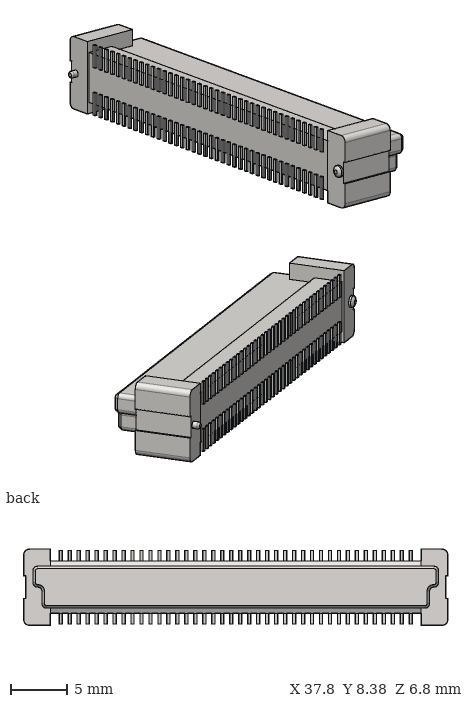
import cadquery as cq


total_length = 37.8
block_length = 2.4
block_depth = 5.3
block_height = 6.8
block_corner_radius = 0.53
notch_depth = 0.2
notch_height = 2.0

body_height = 4.7
body_inset = 0.2
body_rear = 3.1
body_rear_slope = 0.23

tongue_length = 36.15
tongue_height = 3.75
tongue_projection = 2.4
tongue_step = 0.8
tongue_corner_radius = 0.4
tongue_inner_radius = 0.35
tongue_tip_depth = 0.35
tongue_tip_inset = 0.23

pins_per_row = 40
pin_row_span = 31.2
pin_width = 0.3
pin_inner = 1.17
pin_outer = 3.3

peg_offset = 18.1
small_peg_diameter = 0.65
small_peg_height = 0.68
small_peg_wall = 0.45
large_peg_diameter = 1.1
large_peg_height = 0.4
large_peg_wall = 0.2
peg_tip_diameter = 0.38
peg_crown_bulge = 0.05

body_length = total_length - 2 * block_length
body_slope_rise = (body_height - tongue_height) / 2
tongue_end = block_depth + tongue_projection
pin_pitch = pin_row_span / (pins_per_row - 1)
pin_length = pin_outer - pin_inner


def box(x_range, y_range, z_range):
    """Box given by its lower and upper limits on each axis."""
    size = [high - low for low, high in (x_range, y_range, z_range)]
    corner = (x_range[0], y_range[0], z_range[0])
    return cq.Workplane("XY").box(*size, centered=False).translate(corner)


def end_block(side):
    """End block with rounded outer edges and a shallow notch; side is -1 or +1 along X."""
    half_length = total_length / 2
    block = (
        cq.Workplane("XY")
        .box(block_length, block_depth, block_height)
        .edges(">X and |Y")
        .fillet(block_corner_radius)
        .translate((half_length - block_length / 2, block_depth / 2, 0))
    )
    notch = box(
        (half_length - notch_depth, half_length),
        (0, block_depth),
        (-notch_height / 2, notch_height / 2),
    )
    block = block.cut(notch)
    return block if side > 0 else block.mirror("YZ")


def body():
    """Central bar whose rear edges slope down to the tongue."""
    half_height = body_height / 2
    bar = box((-body_length / 2, body_length / 2), (body_inset, body_rear), (-half_height, half_height))
    return bar.faces(">Y").edges("|X").chamfer(body_slope_rise, body_rear_slope)


def tongue():
    """Solid tongue, longer in its upper half, with rounded corners and a tapered tip."""
    half_length = tongue_length / 2
    short_half = half_length - tongue_step
    half_height = tongue_height / 2
    outline = [
        (-half_length, half_height),
        (half_length, half_height),
        (half_length, 0),
        (short_half, 0),
        (short_half, -half_height),
        (-short_half, -half_height),
        (-short_half, 0),
        (-half_length, 0),
    ]
    bar = (
        cq.Workplane("XZ", origin=(0, body_inset, 0))
        .polyline(outline)
        .close()
        .extrude(body_inset - tongue_end)
    )
    margin = tongue_step / 2
    inner_corners = cq.selectors.BoxSelector(
        (-half_length + margin, 0, -margin), (half_length - margin, tongue_end, margin)
    )
    bar = bar.edges(inner_corners).edges("|Y").fillet(tongue_inner_radius)
    bar = bar.edges("|Y").edges(">Z or <Z or >X or <X").fillet(tongue_corner_radius)
    return bar.faces(">Y").chamfer(tongue_tip_depth, tongue_tip_inset)


def pin(x, row):
    """Flat pin lying across the front of the body; row is -1 or +1 along Z."""
    return (
        cq.Workplane("XY")
        .box(pin_width, body_inset, pin_length)
        .translate((x, body_inset / 2, row * (pin_inner + pin_outer) / 2))
    )


def peg(x, diameter, height, wall_height):
    """Round peg on the mounting face, with a straight wall and a domed crown ending in a small flat."""
    profile = (
        cq.Workplane("XY")
        .lineTo(diameter / 2, 0)
        .lineTo(diameter / 2, -wall_height)
        .sagittaArc((peg_tip_diameter / 2, -height), peg_crown_bulge)
        .lineTo(0, -height)
        .close()
    )
    return profile.revolve(360, (0, 0, 0), (0, 1, 0)).translate((x, 0, 0))


result = body().union(tongue())

for side in (-1, 1):
    result = result.union(end_block(side))

pins = []
for index in range(pins_per_row):
    x = index * pin_pitch - pin_row_span / 2
    for row in (-1, 1):
        pins.append(pin(x, row).val())
result = result.union(cq.Workplane(cq.Compound.makeCompound(pins)))

result = result.union(peg(-peg_offset, small_peg_diameter, small_peg_height, small_peg_wall))
result = result.union(peg(peg_offset, large_peg_diameter, large_peg_height, large_peg_wall))